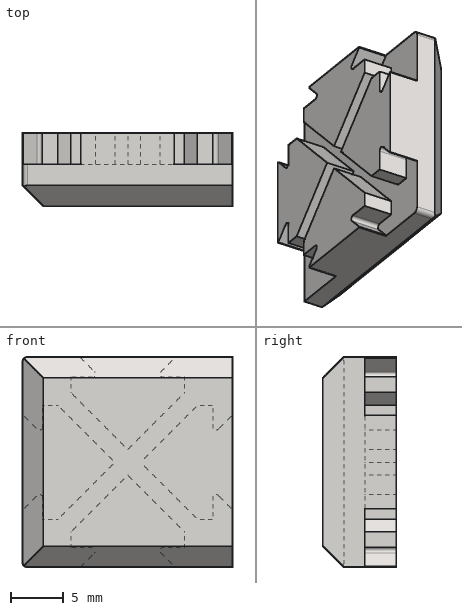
import cadquery as cq

side = 20
plate_thickness = 4
bevel = 2
corner_radius = 0.48

plug_length = 3
mouth_width = 8.88
lip_edge = 0.1
lip_depth = 1.9
chamber_width = 10.85
chamber_wall_height = 1.45
lip_root_radius = 0.3

half_side = side / 2
half_mouth = mouth_width / 2
half_chamber = chamber_width / 2
chamber_top = half_side - lip_depth
chamber_bottom = chamber_top - chamber_wall_height
half_neck = half_mouth - (lip_depth - lip_edge)
plug_tip = chamber_bottom - half_chamber


def make_plate():
    """Square plate, rounded along its left corners and bevelled on three front edges."""
    plate = cq.Workplane("XY").box(side, plate_thickness, side, centered=(True, False, True))
    plate = plate.edges("|Y and <X").fillet(corner_radius)

    bevel_profile = [(-half_side, 0), (-half_side + bevel, 0), (-half_side, bevel)]
    left_wedge = cq.Workplane("XY").polyline(bevel_profile).close().extrude(half_side, both=True)
    for angle in (0, 90, -90):
        plate = plate.cut(left_wedge.rotate((0, 0, 0), (0, 1, 0), angle))
    return plate


def make_plug():
    """Plug for the upper slot: flared mouth, undercut lips and a tapered chamber."""
    right_side = [
        (half_mouth, half_side),
        (half_mouth, half_side - lip_edge),
        (half_neck, chamber_top),
        (half_chamber, chamber_top),
        (half_chamber, chamber_bottom),
    ]
    left_side = [(-x, z) for x, z in reversed(right_side)]
    outline = right_side + [(0, plug_tip)] + left_side
    plug = (
        cq.Workplane("XZ", origin=(0, plate_thickness, 0))
        .polyline(outline)
        .close()
        .extrude(-plug_length)
    )
    middle = plate_thickness + plug_length / 2
    for x in (-half_neck, half_neck):
        lip_root = cq.selectors.NearestToPointSelector((x, middle, chamber_top))
        plug = plug.edges(lip_root).fillet(lip_root_radius)
    return plug


result = make_plate()
upper_plug = make_plug()
for angle in (0, 90, 180, 270):
    result = result.union(upper_plug.rotate((0, 0, 0), (0, 1, 0), angle))